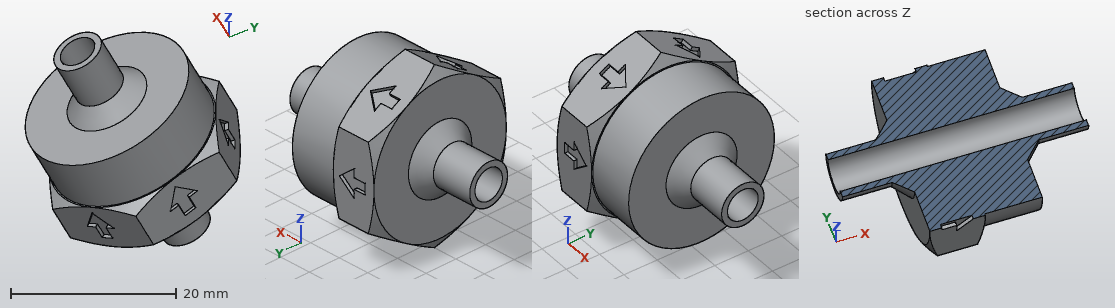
import cadquery as cq
import math

length = 31.5
tube_length = 6.35
cone_length = 2.15
hex_width = 7.12
hex_start = tube_length + cone_length
hex_end = hex_start + hex_width
body_end = length - hex_start

bore_diameter = 4.6
tube_diameter = 6.35
cone_diameter = tube_diameter + 2 * cone_length
body_diameter = 21.85
across_flats = 22.25
hex_sides = 6
side_angle = 360 / hex_sides
corner_chamfer_angle = 30

arrow_start = 10.08
arrow_head_start = 11.97
arrow_tip = 14.55
shaft_width = 1.6
head_width = 4.15
arrow_offset = 0.4
arrow_depth = 0.5


def make_turned_profile():
    """Tubes, cones and cylindrical body as one revolved solid."""
    tube_radius = tube_diameter / 2
    cone_radius = cone_diameter / 2
    body_radius = body_diameter / 2
    body_start = hex_start + hex_width / 2
    return (
        cq.Workplane("XZ")
        .moveTo(0, 0)
        .lineTo(0, tube_radius)
        .lineTo(tube_length, tube_radius)
        .lineTo(hex_start, cone_radius)
        .lineTo(body_start, cone_radius)
        .lineTo(body_start, body_radius)
        .lineTo(body_end, body_radius)
        .lineTo(body_end, cone_radius)
        .lineTo(length - tube_length, tube_radius)
        .lineTo(length, tube_radius)
        .lineTo(length, 0)
        .close()
        .revolve(360, (0, 0, 0), (1, 0, 0))
    )


def make_hexagon():
    """Hexagon with corners on +Z and -Z, its corners turned off at both ends."""
    prism = (
        cq.Workplane("YZ", origin=(hex_start, 0, 0))
        .polygon(hex_sides, across_flats, circumscribed=True)
        .extrude(hex_width)
    )
    half_width = hex_width / 2
    face_radius = across_flats / 2
    slope = 1 / math.tan(math.radians(corner_chamfer_angle))
    middle_radius = face_radius + half_width * slope
    envelope = (
        cq.Workplane("XZ")
        .moveTo(hex_start, 0)
        .lineTo(hex_start, face_radius)
        .lineTo(hex_start + half_width, middle_radius)
        .lineTo(hex_end, face_radius)
        .lineTo(hex_end, 0)
        .close()
        .revolve(360, (0, 0, 0), (1, 0, 0))
    )
    return prism.intersect(envelope)


def make_arrow_cutter():
    """Arrow pointing along +X, sunk into the -Y flat."""
    half_shaft = shaft_width / 2
    half_head = head_width / 2
    return (
        cq.Workplane("XZ", origin=(0, -across_flats / 2, arrow_offset))
        .moveTo(arrow_start, -half_shaft)
        .lineTo(arrow_head_start, -half_shaft)
        .lineTo(arrow_head_start, -half_head)
        .lineTo(arrow_tip, 0)
        .lineTo(arrow_head_start, half_head)
        .lineTo(arrow_head_start, half_shaft)
        .lineTo(arrow_start, half_shaft)
        .close()
        .extrude(-arrow_depth)
    )


result = make_turned_profile().union(make_hexagon())

arrow = make_arrow_cutter()
for side in range(hex_sides):
    result = result.cut(arrow.rotate((0, 0, 0), (1, 0, 0), side * side_angle))

bore = cq.Workplane("YZ").circle(bore_diameter / 2).extrude(length)
result = result.cut(bore)